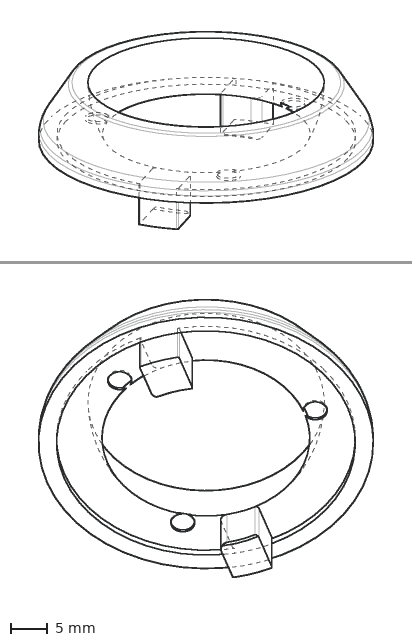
import cadquery as cq
import math

RIM_RADIUS = 22.65
RIM_HEIGHT = 1.1
RING_HEIGHT = 8.43
SHOULDER_HEIGHT = 2.35
BAND_ANGLE = 12.0
CONE_ANGLE = 32.6
SHOULDER_FILLET = 3.25
CROWN_FILLET = 0.6

RECESS_DEPTH = 1.0
RECESS_RADIUS = 20.2

BORE_TOP_RADIUS = 16.0
BORE_BOTTOM_RADIUS = 14.05

TAB_LENGTH = 5.0
TAB_WIDTH = 5.6
TAB_INNER_RADIUS = BORE_BOTTOM_RADIUS
TAB_OUTER_RADIUS = RECESS_RADIUS
TAB_INNER_FILLET = 0.4
TAB_WIDE_INNER_FILLET = 1.05
TAB_OUTER_FILLET = 0.23
TAB_CHAMFER = 0.25

POCKET_COUNT = 3
POCKET_DIAMETER = 3.2
POCKET_DEPTH = 0.35
POCKET_CIRCLE_RADIUS = 15.6
POCKET_START_ANGLE = 60.0


def circle_edge_at(radius, height):
    """Selector for the horizontal circular edge of the given radius and height."""
    slack = 0.05
    reach = radius + slack
    return cq.selectors.BoxSelector(
        (-reach, -reach, height - slack),
        (reach, reach, height + slack),
        boundingbox=True,
    )


def make_ring():
    """Revolve the sharp outline, round its outer corners, then cut the recess and the bore."""
    shoulder_radius = RIM_RADIUS - (SHOULDER_HEIGHT - RIM_HEIGHT) * math.tan(math.radians(BAND_ANGLE))
    cone_height = RING_HEIGHT - SHOULDER_HEIGHT
    crown_radius = shoulder_radius - cone_height * math.tan(math.radians(CONE_ANGLE))
    blank = (
        cq.Workplane("XZ")
        .moveTo(0, 0)
        .lineTo(RIM_RADIUS, 0)
        .lineTo(RIM_RADIUS, RIM_HEIGHT)
        .lineTo(shoulder_radius, SHOULDER_HEIGHT)
        .lineTo(crown_radius, RING_HEIGHT)
        .lineTo(0, RING_HEIGHT)
        .close()
        .revolve(360, (0, 0, 0), (0, 1, 0))
        .edges(circle_edge_at(shoulder_radius, SHOULDER_HEIGHT))
        .fillet(SHOULDER_FILLET)
        .edges(circle_edge_at(crown_radius, RING_HEIGHT))
        .fillet(CROWN_FILLET)
    )
    recess = cq.Workplane("XY").circle(RECESS_RADIUS).extrude(RECESS_DEPTH)
    bore_height = RING_HEIGHT - RECESS_DEPTH
    radius_square_gain = BORE_TOP_RADIUS**2 - BORE_BOTTOM_RADIUS**2
    centre_rise = (bore_height**2 + radius_square_gain) / (2 * bore_height)
    sphere_radius = math.hypot(BORE_BOTTOM_RADIUS, centre_rise)
    bore = cq.Workplane("XY").sphere(sphere_radius).translate((0, 0, RECESS_DEPTH + centre_rise))
    return blank.cut(recess).cut(bore)


def make_tab():
    """Arc-shaped tab on the +Y side, with parallel sides and rounded upright edges."""
    height = TAB_LENGTH + RECESS_DEPTH
    base = cq.Workplane("XY", origin=(0, 0, -TAB_LENGTH))
    annulus = base.circle(TAB_OUTER_RADIUS).circle(TAB_INNER_RADIUS).extrude(height)
    strip = base.rect(TAB_WIDTH, RIM_RADIUS).extrude(height).translate((0, RIM_RADIUS / 2, 0))
    tab = annulus.intersect(strip)
    tab = tab.faces("<X").edges("|Z and <Y").fillet(TAB_INNER_FILLET)
    tab = tab.faces(">X").edges("|Z and <Y").fillet(TAB_WIDE_INNER_FILLET)
    tab = tab.faces("<X or >X").edges("|Z and >Y").fillet(TAB_OUTER_FILLET)
    chamfer_cone = cq.Workplane(
        cq.Solid.makeCone(
            TAB_INNER_RADIUS + TAB_CHAMFER,
            TAB_INNER_RADIUS,
            TAB_CHAMFER,
            pnt=cq.Vector(0, 0, -TAB_LENGTH),
        )
    )
    return tab.cut(chamfer_cone)


def make_pockets():
    """Pockets sunk upward into the recess floor."""
    return (
        cq.Workplane("XY", origin=(0, 0, RECESS_DEPTH))
        .polarArray(POCKET_CIRCLE_RADIUS, POCKET_START_ANGLE, 360, POCKET_COUNT)
        .circle(POCKET_DIAMETER / 2)
        .extrude(POCKET_DEPTH)
    )


ring = make_ring().cut(make_pockets())
tab = make_tab()
result = ring.union(tab).union(tab.mirror("XZ"))